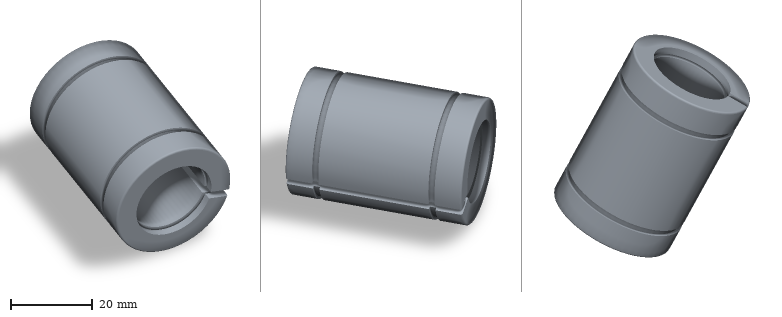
import cadquery as cq

length = 45.0
outer_diameter = 32.0
bore_diameter = 20.0
edge_radius = 0.5

recess_diameter = 21.0
recess_depth = 2.0

undercut_diameter = 24.3
undercut_width = 0.55

groove_diameter = 30.4
groove_width = 1.6
groove_offset = 6.85

slit_width = 2.02
slit_angle = -15.0


def cylinder(start, diameter, depth):
    """Solid cylinder along +X, beginning at X = start."""
    return cq.Workplane("YZ", origin=(start, 0, 0)).circle(diameter / 2).extrude(depth)


def groove_ring(start):
    """Material removed from the outside by one groove."""
    blank = cylinder(start, outer_diameter, groove_width)
    return blank.cut(cylinder(start, groove_diameter, groove_width))


def slit_cutter():
    """Radial slab running from the axis out past the outer surface."""
    slab = cq.Workplane("XY").box(
        length, outer_diameter, slit_width, centered=(False, False, True)
    )
    return slab.rotate((0, 0, 0), (1, 0, 0), slit_angle)


sleeve = cylinder(0, outer_diameter, length).edges("%CIRCLE").fillet(edge_radius)
sleeve = sleeve.cut(cylinder(0, bore_diameter, length))

for recess_start in (0, length - recess_depth):
    sleeve = sleeve.cut(cylinder(recess_start, recess_diameter, recess_depth))

for undercut_start in (recess_depth, length - recess_depth - undercut_width):
    sleeve = sleeve.cut(cylinder(undercut_start, undercut_diameter, undercut_width))

for groove_start in (groove_offset, length - groove_offset - groove_width):
    sleeve = sleeve.cut(groove_ring(groove_start))

result = sleeve.cut(slit_cutter())